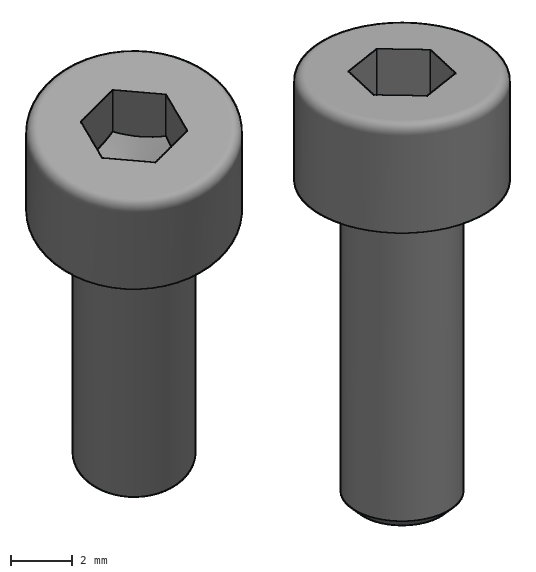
import cadquery as cq
import math

total_length = 16.0
head_height = 4.0
head_diameter = 7.0
head_edge_radius = 0.35
shank_diameter = 4.0
shank_length = total_length - head_height
tip_diameter = 3.23
tip_chamfer_height = 0.38

socket_across_flats = 3.0
socket_across_corners = socket_across_flats / math.cos(math.radians(30))
socket_depth = 2.0
cone_angle = 120.0
cone_radius = socket_across_corners / 2
cone_height = cone_radius / math.tan(math.radians(cone_angle / 2))


def make_head():
    head = cq.Workplane("XY").circle(head_diameter / 2).extrude(head_height)
    return head.faces(">Z").edges().fillet(head_edge_radius)


def make_shank():
    """Revolve the shank, including its chamfered tip."""
    profile = (
        cq.Workplane("XZ")
        .moveTo(0, 0)
        .lineTo(shank_diameter / 2, 0)
        .lineTo(shank_diameter / 2, tip_chamfer_height - shank_length)
        .lineTo(tip_diameter / 2, -shank_length)
        .lineTo(0, -shank_length)
        .close()
    )
    return profile.revolve(360, (0, 0, 0), (0, 1, 0))


def make_socket():
    """Hexagonal prism whose floor is a cone through the hexagon's corners."""
    floor_z = head_height - socket_depth
    prism = (
        cq.Workplane("XY")
        .workplane(offset=floor_z - cone_height)
        .polygon(6, socket_across_corners)
        .extrude(socket_depth + cone_height)
    )
    envelope = (
        cq.Workplane("XZ")
        .moveTo(0, floor_z - cone_height)
        .lineTo(cone_radius, floor_z)
        .lineTo(cone_radius, head_height)
        .lineTo(0, head_height)
        .close()
        .revolve(360, (0, 0, 0), (0, 1, 0))
    )
    return prism.intersect(envelope)


result = make_head().union(make_shank()).cut(make_socket())